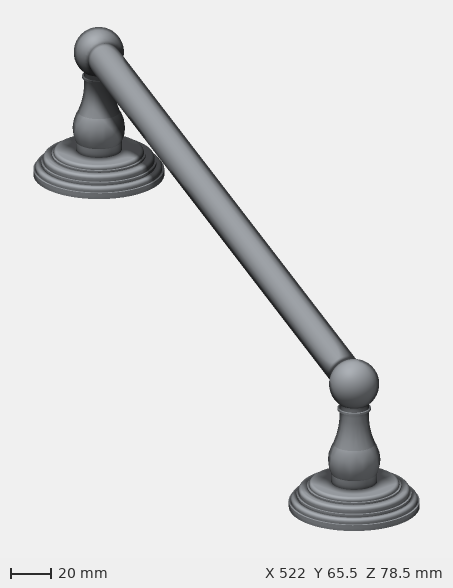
import cadquery as cq

total_length = 522.0
flange_diameter = 65.5
flange_radius = flange_diameter / 2
post_spacing = total_length - flange_diameter
total_height = 78.5

rim_lip_height = 3.0
rim_height = 6.0
middle_radius = 28.5
middle_lip_height = 7.5
middle_height = 10.5
upper_radius = 23.5
upper_lip_height = 11.5
flange_height = 13.5
shoulder_width = 1.5
shoulder_rise = 1.5
lip_width = 1.0

foot_radius = 11.5
foot_height = 18.5
belly_radius = 13.0
belly_height = 26.0
shoulder_radius = 10.5
shoulder_height = 34.0
waist_radius = 8.0
waist_height = 43.0
neck_radius = 7.5
collar_radius = 8.5
collar_bottom = 52.0
collar_top = 53.5

ball_radius = 12.5
bar_radius = 8.5
bar_height = total_height - ball_radius
bar_seat = (ball_radius**2 - bar_radius**2) ** 0.5
neck_top = bar_height - (ball_radius**2 - neck_radius**2) ** 0.5


def add_tier(profile, radius, bottom, lip_height, top):
    """Trace one tier inward: upright side, narrow lip, short wall, then a rounded shoulder."""
    lip_radius = radius - lip_width
    shoulder_end = lip_radius - shoulder_width
    shoulder_start = top - shoulder_rise
    bulge = 0.5**0.5
    return (
        profile.lineTo(radius, bottom)
        .lineTo(radius, lip_height)
        .lineTo(lip_radius, lip_height)
        .lineTo(lip_radius, shoulder_start)
        .threePointArc(
            (shoulder_end + shoulder_width * bulge, shoulder_start + shoulder_rise * bulge),
            (shoulder_end, top),
        )
    )


def make_flange():
    """Round wall flange with three stepped tiers and a flat top."""
    profile = cq.Workplane("XZ").moveTo(0, 0)
    profile = add_tier(profile, flange_radius, 0, rim_lip_height, rim_height)
    profile = add_tier(profile, middle_radius, rim_height, middle_lip_height, middle_height)
    profile = add_tier(profile, upper_radius, middle_height, upper_lip_height, flange_height)
    return profile.lineTo(0, flange_height).close().revolve(360, (0, 0), (0, 1))


def make_stem():
    """Turned stem: plain foot, convex belly, concave waist, collar and neck."""
    return (
        cq.Workplane("XZ")
        .moveTo(0, flange_height)
        .lineTo(foot_radius, flange_height)
        .lineTo(foot_radius, foot_height)
        .threePointArc((belly_radius, belly_height), (shoulder_radius, shoulder_height))
        .threePointArc((waist_radius, waist_height), (neck_radius, collar_bottom))
        .lineTo(collar_radius, collar_bottom)
        .lineTo(collar_radius, collar_top)
        .lineTo(neck_radius, collar_top)
        .lineTo(neck_radius, neck_top)
        .lineTo(0, bar_height)
        .close()
        .revolve(360, (0, 0), (0, 1))
    )


def make_ball():
    """Ball finial cut flat on its +X side where the bar meets it."""
    ball = cq.Workplane("XY").sphere(ball_radius).translate((0, 0, bar_height))
    beyond_seat = (
        cq.Workplane("YZ", origin=(bar_seat, 0, bar_height))
        .circle(ball_radius)
        .extrude(ball_radius)
    )
    return ball.cut(beyond_seat)


def make_post():
    """Complete post on the Z axis, with its bar seat facing +X."""
    return make_flange().union(make_stem()).union(make_ball())


def make_bar():
    """Straight round bar spanning the flat seats of the two balls."""
    half_length = post_spacing / 2 - bar_seat
    return (
        cq.Workplane("YZ", origin=(-half_length, 0, bar_height))
        .circle(bar_radius)
        .extrude(2 * half_length)
    )


bar = make_bar()
posts = []
for turn in (0, 180):
    post = make_post().translate((-post_spacing / 2, 0, 0)).rotate((0, 0, 0), (0, 0, 1), turn)
    posts.append(post.val())

result = cq.Compound.makeCompound([bar.val(), *posts])